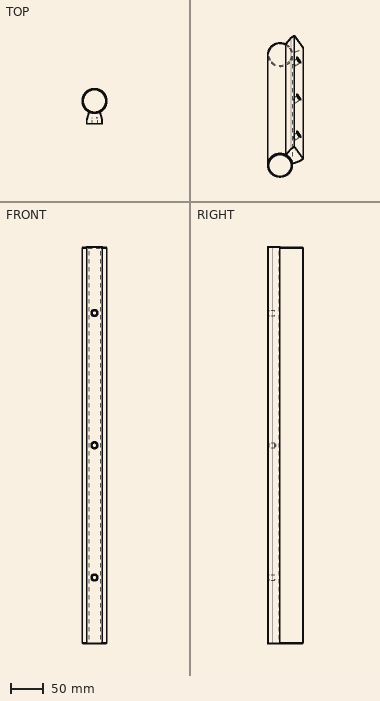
import cadquery as cq
import math

length = 609.5
shaft_diameter = 38.0
overall_depth = 54.0
shaft_chamfer = 1.5
shaft_end_gap = 0.3

base_width = 24.0
neck_width = 17.0
base_height = 7.0

hole_count = 3
hole_diameter = 8.0
hole_depth = 10.0
countersink_diameter = 10.5
drill_tip_angle = 118.0

shaft_radius = shaft_diameter / 2
rail_front = shaft_radius - overall_depth
base_back = rail_front + base_height
neck_back = -math.sqrt(shaft_radius**2 - (neck_width / 2) ** 2)
hole_pitch = length / hole_count


def make_shaft():
    """Round shaft with chamfered ends."""
    shaft_length = length - 2 * shaft_end_gap
    shaft = cq.Workplane("XY").workplane(offset=shaft_end_gap).circle(shaft_radius).extrude(shaft_length)
    return shaft.faces("|Z").chamfer(shaft_chamfer)


def make_hole_cutter(z):
    """Countersunk blind hole with a drill tip, entering along +Y at height z."""
    hole_radius = hole_diameter / 2
    sink_radius = countersink_diameter / 2
    sink_depth = sink_radius - hole_radius
    tip_depth = hole_radius / math.tan(math.radians(drill_tip_angle / 2))
    half_section = (
        cq.Workplane("XY")
        .moveTo(0, 0)
        .lineTo(sink_radius, 0)
        .lineTo(hole_radius, sink_depth)
        .lineTo(hole_radius, hole_depth)
        .lineTo(0, hole_depth + tip_depth)
        .close()
    )
    cutter = half_section.revolve(360, (0, 0, 0), (0, 1, 0))
    return cutter.translate((0, rail_front, z))


def make_rail():
    """Support rail with a flared neck and a cradle that fits the shaft."""
    rail = (
        cq.Workplane("XY")
        .moveTo(-base_width / 2, rail_front)
        .lineTo(base_width / 2, rail_front)
        .lineTo(base_width / 2, base_back)
        .lineTo(neck_width / 2, neck_back)
        .lineTo(-neck_width / 2, neck_back)
        .lineTo(-base_width / 2, base_back)
        .close()
        .extrude(length)
    )
    cradle = cq.Workplane("XY").circle(shaft_radius).extrude(length)
    rail = rail.cut(cradle)
    for index in range(hole_count):
        rail = rail.cut(make_hole_cutter((index + 0.5) * hole_pitch))
    return rail


shaft = make_shaft()
rail = make_rail()

result = cq.Compound.makeCompound([shaft.val(), rail.val()])